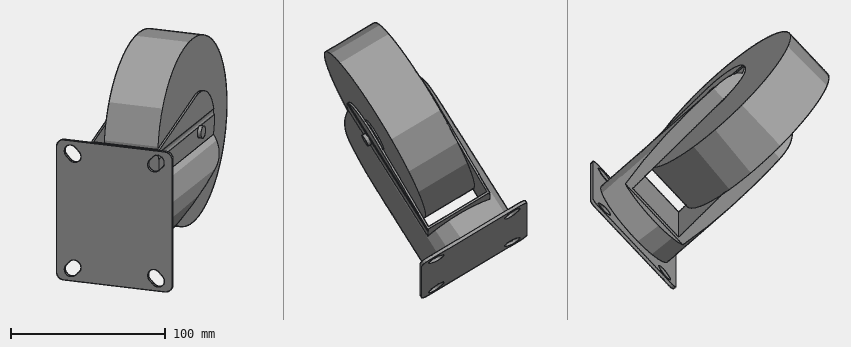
import cadquery as cq
import math

plate_width = 80.0
plate_height = 95.0
plate_thickness = 2.2
plate_corner_radius = 5.0
slot_width = 9.0
slot_length = 12.5
slot_x = 28.8
slot_z = 38.9

boss_radius = 32.5
boss_end_y = 19.2

wheel_radius = 62.5
wheel_width = 37.0
overall_length = 155.0
axle_y = overall_length - wheel_radius
axle_z = 32.0
axle_radius = 4.0
axle_length = 52.1
hub_radius = 11.0
hub_thickness = 1.1

fork_width = 47.0
sheet_thickness = 1.4
fork_gap = fork_width - 2 * sheet_thickness
arm_end_radius = 26.7
arm_top_z = 41.2
arm_bottom_z = -17.2
groove_radius = 5.0
groove_depth = 0.5
groove_z = 37.7


def cylinder_along_x(radius, length, y, z):
    """Cylinder parallel to X, centred on X = 0."""
    return cq.Workplane(cq.Solid.makeCylinder(
        radius, length, cq.Vector(-length / 2, y, z), cq.Vector(1, 0, 0)))


def cylinder_along_y(radius, x, z, start_y, end_y):
    """Cylinder parallel to Y between two Y positions."""
    return cq.Workplane(cq.Solid.makeCylinder(
        radius, end_y - start_y, cq.Vector(x, start_y, z), cq.Vector(0, 1, 0)))


def arm_tangent_point(root_z, side):
    """Point where a line from the arm root touches the round arm end (side: 1 upper, -1 lower)."""
    to_root_y = boss_end_y - axle_y
    to_root_z = root_z - axle_z
    root_angle = math.atan2(to_root_z, to_root_y)
    half_angle = math.acos(arm_end_radius / math.hypot(to_root_y, to_root_z))
    angle = root_angle - side * half_angle
    return (axle_y + arm_end_radius * math.cos(angle), axle_z + arm_end_radius * math.sin(angle))


def arm_profile_prism():
    """Side outline of the fork, extruded across the full boss diameter."""
    return (
        cq.Workplane("YZ")
        .moveTo(boss_end_y, arm_bottom_z)
        .lineTo(*arm_tangent_point(arm_bottom_z, -1))
        .threePointArc((axle_y + arm_end_radius, axle_z), arm_tangent_point(arm_top_z, 1))
        .lineTo(boss_end_y, arm_top_z)
        .close()
        .extrude(boss_radius, both=True)
    )


def make_plate():
    plate = (
        cq.Workplane("XY")
        .box(plate_width, plate_thickness, plate_height)
        .edges("|Y")
        .fillet(plate_corner_radius)
        .translate((0, plate_thickness / 2, 0))
    )
    for side_x in (-1, 1):
        for side_z in (-1, 1):
            slot = (
                cq.Workplane("XZ")
                .center(side_x * slot_x, side_z * slot_z)
                .slot2D(slot_length, slot_width, side_x * side_z * 45)
                .extrude(plate_thickness, both=True)
            )
            plate = plate.cut(slot)
    return plate


def make_fork():
    profile = arm_profile_prism()
    arm_end_y = axle_y + arm_end_radius
    floor_y = boss_end_y + sheet_thickness

    sheet = profile.intersect(
        cq.Workplane("XY").box(fork_width, 2 * overall_length, 2 * overall_length))
    swelling = profile.intersect(cylinder_along_y(boss_radius, 0, 0, boss_end_y, arm_end_y))
    wheel_space = cq.Workplane("XY").box(
        fork_gap, overall_length, 2 * overall_length).translate((0, floor_y + overall_length / 2, 0))
    fork = sheet.union(swelling).cut(wheel_space)

    groove_x = fork_width / 2 + groove_radius - groove_depth
    for side in (-1, 1):
        fork = fork.cut(cylinder_along_y(groove_radius, side * groove_x, groove_z, boss_end_y, arm_end_y))

    boss = cylinder_along_y(boss_radius, 0, 0, plate_thickness, boss_end_y)
    axle_hole = cylinder_along_x(axle_radius, 2 * boss_radius, axle_y, axle_z)
    return fork.cut(axle_hole).union(boss).union(make_plate())


def make_wheel():
    """Wheel with its raised hubs and axle ends."""
    wheel = cylinder_along_x(wheel_radius, wheel_width, axle_y, axle_z)
    hub = cylinder_along_x(hub_radius, wheel_width + 2 * hub_thickness, axle_y, axle_z)
    axle = cylinder_along_x(axle_radius, axle_length, axle_y, axle_z)
    return wheel.union(hub).union(axle)


fork = make_fork()
wheel = make_wheel()
result = cq.Compound.makeCompound([fork.val(), wheel.val()])